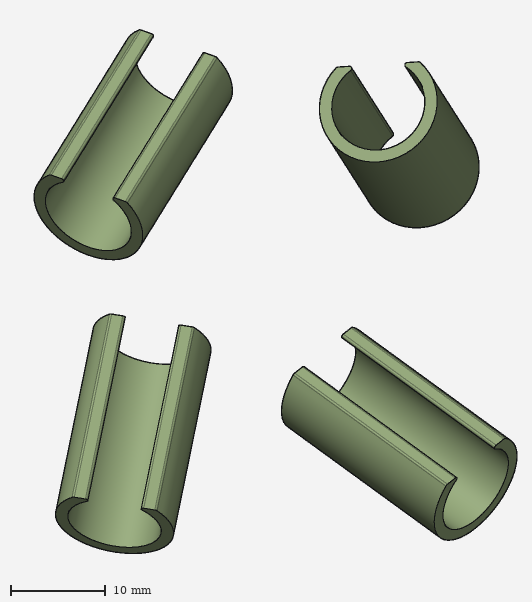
import cadquery as cq

length = 22.23
outer_radius = 6.34
inner_radius = 5.0
height = 10.85
outer_lip_fillet = 0.33
inner_lip_fillet = 0.27

flat_height = height - outer_radius


def half_width_at_flat(radius):
    """Half the chord of a circle about the tube axis, at the height of the flat lips."""
    return (radius**2 - flat_height**2) ** 0.5


def open_tube():
    """Tube along Y, centred on the origin, cut off flat along its top."""
    tube = (
        cq.Workplane("XZ")
        .circle(outer_radius)
        .circle(inner_radius)
        .extrude(length / 2, both=True)
    )
    opening = cq.Workplane("XY", origin=(0, 0, flat_height)).box(
        2 * outer_radius, length, outer_radius, centered=(True, True, False)
    )
    return tube.cut(opening)


def round_lip_edges(body, wall_radius, fillet_radius):
    """Round both long lip edges where the flats meet the wall of the given radius."""
    edge_x = half_width_at_flat(wall_radius)
    for x in (-edge_x, edge_x):
        edge = cq.selectors.NearestToPointSelector((x, 0, flat_height))
        body = body.edges("|Y").edges(edge).fillet(fillet_radius)
    return body


result = open_tube()
result = round_lip_edges(result, inner_radius, inner_lip_fillet)
result = round_lip_edges(result, outer_radius, outer_lip_fillet)